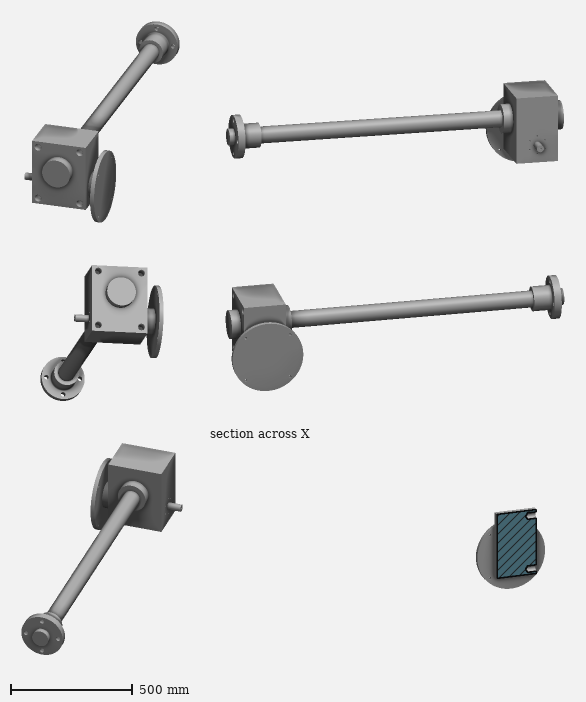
import cadquery as cq
import math


OVERALL_LENGTH = 1433
OVERALL_HEIGHT = 355.0

HOUSING_WIDTH = 232.0
HOUSING_DEPTH = 176.0
HOUSING_HEIGHT = 281.0
HOUSING_TOP = 118.0
BOSS_DIAMETER = 120.0
BOSS_LENGTH = 39.0

MOUNT_HOLE_DIAMETER = 26.0
MOUNT_HOLE_MOUTH_DIAMETER = 30.0
MOUNT_HOLE_DEPTH = 40.0
MOUNT_HOLE_SPACING_X = 180.0
MOUNT_HOLE_SPACING_Z = 230.0
DRILL_POINT_ANGLE = 118

COVER_HOLE_COUNT = 6
COVER_HOLE_DIAMETER = 6.6
COVER_HOLE_CIRCLE = 75.0
COVER_HOLE_DEPTH = 15

WORM_DIAMETER = 30.0
WORM_PROJECTION = 57
WORM_SOCKET_DEPTH = 29
CENTER_HOLE_DIAMETER = 8.3
CENTER_HOLE_DEPTH = 20.0

MOTOR_NECK_DIAMETER = 110.0
MOTOR_NECK_LENGTH = 39.0
MOTOR_DISC_DIAMETER = 300.0
MOTOR_DISC_THICKNESS = 17.0
MOTOR_BOLT_COUNT = 4
MOTOR_BOLT_DIAMETER = 10.2
MOTOR_BOLT_CIRCLE = 265.0
MOTOR_BOLT_START_ANGLE = 45

SCREW_DIAMETER = 70.0
SCREW_GROOVE_DIAMETER = 60.0
SCREW_GROOVE_WIDTH = 5.0
SCREW_GROOVE_OFFSET = 5.0

NUT_BACK_CLEARANCE = 23.0
NUT_FLANGE_DIAMETER = 180.0
NUT_FLANGE_THICKNESS = 30.0
NUT_BARREL_DIAMETER = 103.0
NUT_BARREL_LENGTH = 77.0
NUT_FILLET_RADIUS = 5.0
NUT_HOLE_COUNT = 4
NUT_HOLE_DIAMETER = 19.0
NUT_HOLE_CIRCLE = 140.0

HOUSING_SIDE = HOUSING_WIDTH / 2
HOUSING_FACE = HOUSING_DEPTH / 2
HOUSING_CENTER_Z = HOUSING_TOP - HOUSING_HEIGHT / 2
BOSS_END = HOUSING_FACE + BOSS_LENGTH

WORM_DROP = OVERALL_HEIGHT - HOUSING_TOP - MOTOR_DISC_DIAMETER / 2
WORM_START = -HOUSING_SIDE - WORM_PROJECTION
WORM_END = -HOUSING_SIDE + WORM_SOCKET_DEPTH

DISC_START = HOUSING_SIDE + MOTOR_NECK_LENGTH
DISC_END = DISC_START + MOTOR_DISC_THICKNESS

SCREW_END = OVERALL_LENGTH - MOTOR_DISC_DIAMETER / 2
NUT_BACK = SCREW_END - NUT_BACK_CLEARANCE
NUT_SHOULDER = NUT_BACK - NUT_FLANGE_THICKNESS
NUT_FRONT = NUT_SHOULDER - NUT_BARREL_LENGTH


def cylinder_on_screw_axis(diameter, y_start, y_end):
    plane = cq.Workplane("XZ", origin=(0, y_end, 0))
    return plane.circle(diameter / 2).extrude(y_end - y_start)


def cylinder_on_worm_axis(diameter, x_start, x_end):
    plane = cq.Workplane("YZ", origin=(x_start, 0, -WORM_DROP))
    return plane.circle(diameter / 2).extrude(x_end - x_start)


def hole_ring(plane, circle_diameter, start_angle, count, hole_diameter, depth):
    holes = plane.polarArray(circle_diameter / 2, start_angle, 360, count)
    return holes.circle(hole_diameter / 2).extrude(depth)


def make_mount_hole():
    """Drilled hole going in along +Y from the origin, with a 45-degree mouth and a conical bottom."""
    radius = MOUNT_HOLE_DIAMETER / 2
    mouth_radius = MOUNT_HOLE_MOUTH_DIAMETER / 2
    mouth_depth = mouth_radius - radius
    point_length = radius / math.tan(math.radians(DRILL_POINT_ANGLE / 2))
    half_section = (
        cq.Workplane("XY")
        .lineTo(mouth_radius, 0)
        .lineTo(radius, mouth_depth)
        .lineTo(radius, MOUNT_HOLE_DEPTH)
        .lineTo(0, MOUNT_HOLE_DEPTH + point_length)
        .close()
    )
    return half_section.revolve(360, (0, 0, 0), (0, 1, 0))


def make_housing():
    block_center = cq.Workplane("XY", origin=(0, 0, HOUSING_CENTER_Z))
    body = block_center.box(HOUSING_WIDTH, HOUSING_DEPTH, HOUSING_HEIGHT)
    body = body.union(cylinder_on_screw_axis(BOSS_DIAMETER, -BOSS_END, BOSS_END))

    body = body.cut(cylinder_on_screw_axis(SCREW_DIAMETER, -BOSS_END, BOSS_END))
    body = body.cut(cylinder_on_worm_axis(WORM_DIAMETER, -HOUSING_SIDE, WORM_END))

    mount_hole = make_mount_hole()
    for side_x in (-1, 1):
        for side_z in (-1, 1):
            x = side_x * MOUNT_HOLE_SPACING_X / 2
            z = HOUSING_CENTER_Z + side_z * MOUNT_HOLE_SPACING_Z / 2
            body = body.cut(mount_hole.translate((x, -HOUSING_FACE, z)))

    worm_side = cq.Workplane("YZ", origin=(-HOUSING_SIDE, 0, -WORM_DROP))
    cover_holes = hole_ring(
        worm_side, COVER_HOLE_CIRCLE, 90, COVER_HOLE_COUNT, COVER_HOLE_DIAMETER, COVER_HOLE_DEPTH
    )
    return body.cut(cover_holes)


def make_worm_shaft():
    shaft = cylinder_on_worm_axis(WORM_DIAMETER, WORM_START, WORM_END)
    center_hole = cylinder_on_worm_axis(CENTER_HOLE_DIAMETER, WORM_START, WORM_START + CENTER_HOLE_DEPTH)
    return shaft.cut(center_hole)


def make_motor_flange():
    neck = cylinder_on_worm_axis(MOTOR_NECK_DIAMETER, HOUSING_SIDE, DISC_START)
    disc = cylinder_on_worm_axis(MOTOR_DISC_DIAMETER, DISC_START, DISC_END)
    disc_face = cq.Workplane("YZ", origin=(DISC_START, 0, -WORM_DROP))
    bolt_holes = hole_ring(
        disc_face,
        MOTOR_BOLT_CIRCLE,
        MOTOR_BOLT_START_ANGLE,
        MOTOR_BOLT_COUNT,
        MOTOR_BOLT_DIAMETER,
        MOTOR_DISC_THICKNESS,
    )
    return neck.union(disc).cut(bolt_holes)


def make_screw():
    """Plain round screw with a narrow groove just behind its front end."""
    groove_start = -BOSS_END + SCREW_GROOVE_OFFSET
    groove_end = groove_start + SCREW_GROOVE_WIDTH
    head = cylinder_on_screw_axis(SCREW_DIAMETER, -BOSS_END, groove_start)
    groove_core = cylinder_on_screw_axis(SCREW_GROOVE_DIAMETER, groove_start, groove_end)
    stem = cylinder_on_screw_axis(SCREW_DIAMETER, groove_end, SCREW_END)
    return head.union(groove_core).union(stem)


def make_nut():
    barrel = cylinder_on_screw_axis(NUT_BARREL_DIAMETER, NUT_FRONT, NUT_SHOULDER)
    flange = cylinder_on_screw_axis(NUT_FLANGE_DIAMETER, NUT_SHOULDER, NUT_BACK)

    corner = cq.selectors.RadiusNthSelector(0)
    body = barrel.union(flange).faces("<Y[1]").edges(corner).fillet(NUT_FILLET_RADIUS)

    flange_back = cq.Workplane("XZ", origin=(0, NUT_BACK, 0))
    bolt_holes = hole_ring(
        flange_back, NUT_HOLE_CIRCLE, 0, NUT_HOLE_COUNT, NUT_HOLE_DIAMETER, NUT_FLANGE_THICKNESS
    )
    bore = cylinder_on_screw_axis(SCREW_DIAMETER, NUT_FRONT, NUT_BACK)
    return body.cut(bolt_holes).cut(bore)


housing = make_housing()
worm_shaft = make_worm_shaft()
motor_flange = make_motor_flange()
screw = make_screw()
nut = make_nut()

result = cq.Compound.makeCompound(
    [housing.val(), worm_shaft.val(), motor_flange.val(), screw.val(), nut.val()]
)